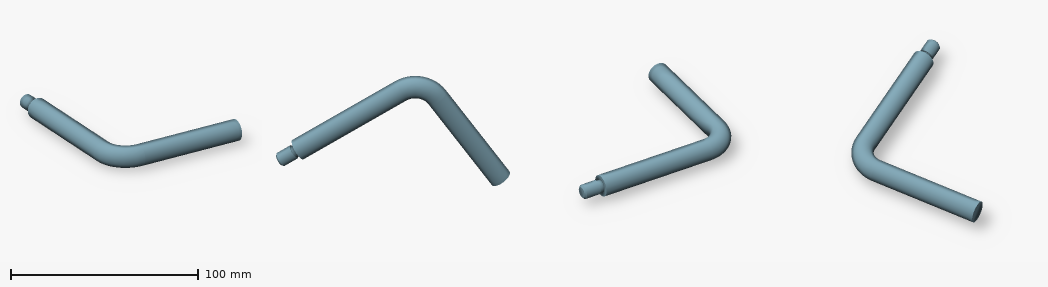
import cadquery as cq

overall_x = 98.0
overall_y = 81.0

rod_diameter = 12.0
rod_radius = rod_diameter / 2
bend_radius = 14.0

stud_length = 12.0
stud_diameter = 8.0
stud_chamfer = 1.0
neck_length = 2.45
neck_diameter = 7.0

rod_start_x = stud_length
second_leg_x = overall_x - rod_radius
bend_start_x = second_leg_x - bend_radius
second_leg_end_y = overall_y - rod_radius


def cylinder_along_x(diameter, start_x, length):
    return cq.Workplane("YZ").workplane(offset=start_x).circle(diameter / 2).extrude(length)


def make_rod():
    """Round rod with two straight legs joined by a quarter-circle bend."""
    centreline = (
        cq.Workplane("XY")
        .moveTo(rod_start_x, 0)
        .lineTo(bend_start_x, 0)
        .radiusArc((second_leg_x, bend_radius), -bend_radius)
        .lineTo(second_leg_x, second_leg_end_y)
    )
    profile = cq.Workplane("YZ").workplane(offset=rod_start_x).circle(rod_radius)
    return profile.sweep(centreline)


def make_stud():
    """Chamfered stud joined to the rod by a narrower neck."""
    head_length = stud_length - neck_length
    head = cylinder_along_x(stud_diameter, 0, head_length).faces("<X").chamfer(stud_chamfer)
    neck = cylinder_along_x(neck_diameter, head_length, neck_length)
    return head.union(neck)


result = make_rod().union(make_stud())